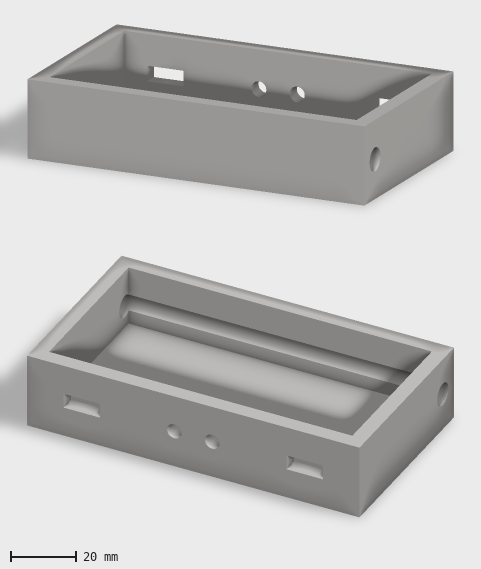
import cadquery as cq

length = 114.3
width = 63.5
height = 25.4
wall = 5.0
floor = 5.0

passage_diameter = 7.7
passage_from_front = 7.5

opening_height = 12.7
pin_hole_diameter = 5.0
pin_hole_positions = (-6.5, 6.5)
slot_length = 12.5
slot_height = 5.0
slot_positions = (-38.3, 38.3)


def make_tray():
    """Box centred on X and Y, standing on Z = 0, hollowed from the top."""
    box = cq.Workplane("XY").box(length, width, height, centered=(True, True, False))
    cavity = (
        cq.Workplane("XY", origin=(0, 0, floor))
        .rect(length - 2 * wall, width - 2 * wall)
        .extrude(height - floor)
    )
    return box.cut(cavity)


def make_passage():
    """Cylinder running the full length, piercing both end walls."""
    centre_y = passage_from_front - width / 2
    return (
        cq.Workplane("YZ", origin=(-length / 2, centre_y, height / 2))
        .circle(passage_diameter / 2)
        .extrude(length)
    )


def make_back_openings():
    """Two round holes and two rectangular slots through the +Y wall."""
    back_face = cq.Workplane("XZ", origin=(0, width / 2, opening_height))
    holes = (
        back_face.pushPoints([(x, 0) for x in pin_hole_positions])
        .circle(pin_hole_diameter / 2)
        .extrude(wall)
    )
    slots = (
        back_face.pushPoints([(x, 0) for x in slot_positions])
        .rect(slot_length, slot_height)
        .extrude(wall)
    )
    return holes.union(slots)


result = make_tray().cut(make_passage()).cut(make_back_openings())